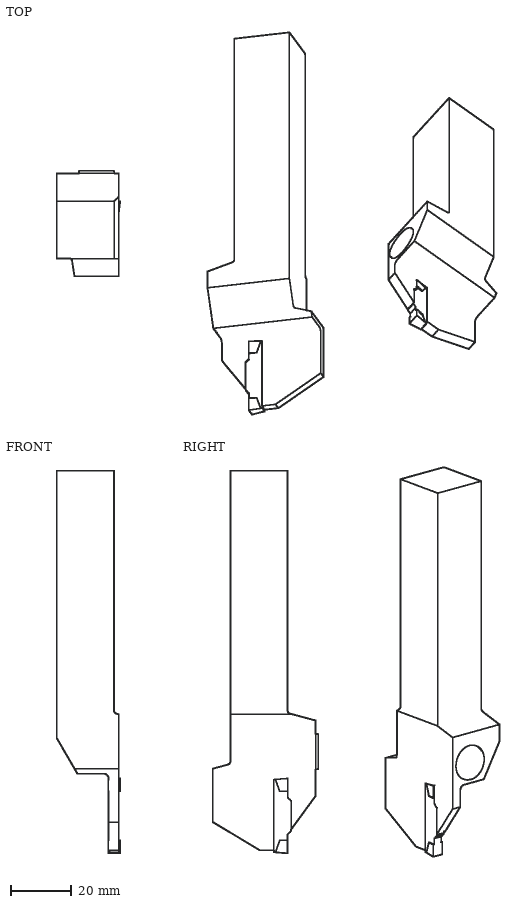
import cadquery as cq
import math

TOTAL_HEIGHT = 127.0
SHANK_SIDE = 19.0
HEAD_WIDTH = 20.6
HEAD_BACK_Y = 28.3
HEAD_FRONT_Y = -5.8
LEDGE_ANGLE = 15.0
LEDGE_TOP_Z = 46.6
TOE_TOP_Z = 29.7
LEDGE_FILLET = 1.0

BEVEL_TOP_Z = 38.2
BEVEL_RUN = 6.9
HEAD_BOTTOM_Z = 26.4
BLADE_LEFT_X = 17.1
BLADE_FILLET = 1.5
BLADE_BACK_Z = 19.0
BLADE_BOTTOM_Z = 1.0
BLADE_FRONT_Z = 10.4
BLADE_HEEL_Y = 9.8

BOSS_DIAMETER = 11.8
BOSS_HEIGHT = 0.9
BOSS_ROUNDING = 0.4
BOSS_X = 13.2
BOSS_Z = 33.8

INSERT_LENGTH = 24.9
INSERT_FRONT_Y = 14.5
INSERT_BACK_Y = SHANK_SIDE
INSERT_BULGE = 1.1
BULGE_START = 6.4
END_RELIEF = 0.4
TIP_OVERHANG = 0.5
INSERT_LEFT_X = BLADE_LEFT_X + 0.4
TIP_LENGTH = 4.3
TIP_DEPTH = 4.1
TIP_INNER_DEPTH = 2.7


def extrude_along_x(points, start_x, end_x):
    """Extrude an outline of (Y, Z) points from start_x to end_x."""
    return cq.Workplane("YZ", origin=(start_x, 0, 0)).polyline(points).close().extrude(end_x - start_x)


def insert_outline():
    """Insert outline in (Y, Z), symmetrical about its mid-length."""
    lower_half = [
        (INSERT_FRONT_Y, END_RELIEF),
        (INSERT_BACK_Y, 0),
        (INSERT_BACK_Y, BULGE_START),
        (INSERT_BACK_Y + INSERT_BULGE, BULGE_START + INSERT_BULGE),
    ]
    upper_half = [(y, INSERT_LENGTH - z) for y, z in reversed(lower_half)]
    return lower_half + upper_half


def make_shank_and_head():
    slope = math.tan(math.radians(LEDGE_ANGLE))
    side_ledge_drop = (HEAD_WIDTH - SHANK_SIDE) * slope
    back_ledge_drop = (HEAD_BACK_Y - SHANK_SIDE) * slope
    toe_drop = -HEAD_FRONT_Y * slope

    side_profile = [
        (0, TOTAL_HEIGHT),
        (SHANK_SIDE, TOTAL_HEIGHT),
        (SHANK_SIDE, LEDGE_TOP_Z),
        (HEAD_BACK_Y, LEDGE_TOP_Z - back_ledge_drop),
        (HEAD_BACK_Y, BLADE_BACK_Z),
        (INSERT_BACK_Y, BULGE_START),
        (INSERT_BACK_Y, BLADE_BOTTOM_Z),
        (BLADE_HEEL_Y, BLADE_BOTTOM_Z),
        (HEAD_FRONT_Y, BLADE_FRONT_Z),
        (HEAD_FRONT_Y, TOE_TOP_Z - toe_drop),
        (0, TOE_TOP_Z),
    ]
    front_profile = (
        cq.Workplane("XZ", origin=(0, HEAD_BACK_Y, 0))
        .moveTo(0, TOTAL_HEIGHT)
        .lineTo(0, BEVEL_TOP_Z)
        .lineTo(BEVEL_RUN, HEAD_BOTTOM_Z)
        .lineTo(BLADE_LEFT_X - BLADE_FILLET, HEAD_BOTTOM_Z)
        .radiusArc((BLADE_LEFT_X, HEAD_BOTTOM_Z - BLADE_FILLET), BLADE_FILLET)
        .lineTo(BLADE_LEFT_X, 0)
        .lineTo(HEAD_WIDTH, 0)
        .lineTo(HEAD_WIDTH, LEDGE_TOP_Z - side_ledge_drop)
        .lineTo(SHANK_SIDE, LEDGE_TOP_Z)
        .lineTo(SHANK_SIDE, TOTAL_HEIGHT)
        .close()
        .extrude(HEAD_BACK_Y - HEAD_FRONT_Y)
    )
    blank = extrude_along_x(side_profile, 0, HEAD_WIDTH).intersect(front_profile)

    shank_foot = (
        blank.edges(cq.NearestToPointSelector((SHANK_SIDE / 2, SHANK_SIDE, LEDGE_TOP_Z)))
        .add(blank.edges(cq.NearestToPointSelector((SHANK_SIDE, SHANK_SIDE / 2, LEDGE_TOP_Z))))
        .add(blank.edges(cq.NearestToPointSelector(((BEVEL_RUN + HEAD_WIDTH) / 2, 0, TOE_TOP_Z))))
    )
    return shank_foot.fillet(LEDGE_FILLET)


def make_boss():
    """Round boss rooted flush on the back face of the head."""
    back_plane = cq.Workplane("XZ", origin=(BOSS_X, HEAD_BACK_Y, BOSS_Z))
    boss = back_plane.circle(BOSS_DIAMETER / 2).extrude(-BOSS_HEIGHT)
    return boss.faces(">Y").fillet(BOSS_ROUNDING)


def make_holder():
    insert_seat = extrude_along_x(insert_outline(), BLADE_LEFT_X, HEAD_WIDTH)
    return make_shank_and_head().cut(insert_seat).union(make_boss())


def make_lower_tip():
    """Cutting tip that is widest at its back edge and tapers to the body width."""
    tip_front_y = INSERT_BACK_Y - TIP_DEPTH
    relief_slope = END_RELIEF / (INSERT_BACK_Y - INSERT_FRONT_Y)
    side_profile = [
        (INSERT_BACK_Y, 0),
        (tip_front_y, TIP_DEPTH * relief_slope),
        (INSERT_BACK_Y - TIP_INNER_DEPTH, TIP_LENGTH),
        (INSERT_BACK_Y, TIP_LENGTH),
    ]
    left_x = INSERT_LEFT_X - TIP_OVERHANG
    right_x = HEAD_WIDTH + TIP_OVERHANG
    taper = (
        cq.Workplane("XY")
        .polyline([
            (left_x, INSERT_BACK_Y),
            (right_x, INSERT_BACK_Y),
            (HEAD_WIDTH, tip_front_y),
            (INSERT_LEFT_X, tip_front_y),
        ])
        .close()
        .extrude(TIP_LENGTH)
    )
    return extrude_along_x(side_profile, left_x, right_x).intersect(taper)


def make_insert():
    body = extrude_along_x(insert_outline(), INSERT_LEFT_X, HEAD_WIDTH)
    lower_tip = make_lower_tip()
    upper_tip = lower_tip.mirror("XY", (0, 0, INSERT_LENGTH / 2))
    for tip in (lower_tip, upper_tip):
        body = body.union(tip)
    return body


holder = make_holder()
insert = make_insert()
result = cq.Compound.makeCompound([holder.solids().val(), insert.solids().val()])